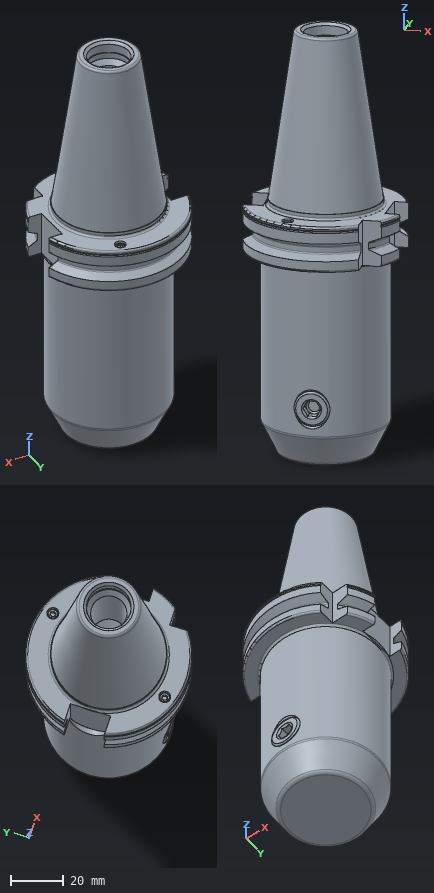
import cadquery as cq
import math

TAPER_LENGTH = 68.4
PROJECTION = 100.0
GAUGE_RADIUS = 44.45 / 2
TAPER_SLOPE = 7 / 48
TAPER_TOP_FILLET = 1.0
COLLAR_HEIGHT = 1.3

FLANGE_RADIUS = 63.55 / 2
FLANGE_TOP = -1.0
FLANGE_BOTTOM = -19.1
FLANGE_EDGE_FILLET = 0.8
FLANGE_ROOT_FILLET = 0.9
GROOVE_CENTRE = -11.15
GROOVE_WIDTH = 7.0
GROOVE_FLOOR_RADIUS = 27.9
GROOVE_WALL_ANGLE = 28.0
GROOVE_FLOOR_FILLET = 0.6
RIM_LINE_HEIGHT = -2.9
RIM_LINE_WIDTH = 1.0
RIM_LINE_DEPTH = 0.2

BODY_RADIUS = 25.0
NOSE_HEIGHT = 13.0
NOSE_RADIUS = 18.5
NOSE_FILLET = 2.0

SLOT_WIDTH = 16.1
LEFT_SLOT_FLOOR = 22.8
LEFT_SLOT_BOTTOM = -27.9
RIGHT_SLOT_FLOOR = 25.0
NOTCH_OFFSET = 18.5

COOLANT_CIRCLE_RADIUS = 27.0
COOLANT_ANGLES = (70.0, 250.0)
COOLANT_MOUTH_RADIUS = 2.25
COOLANT_HOLE_RADIUS = 1.8
COOLANT_SCREW_RECESS = 1.0
COOLANT_SOCKET_WIDTH = 2.0
COOLANT_SOCKET_DEPTH = 2.0

STUD_CHAMFER_RADIUS = 9.6
STUD_PILOT_RADIUS = 8.5
STUD_PILOT_DEPTH = 5.0
STUD_RELIEF_RADIUS = 8.9
STUD_RELIEF_DEPTH = 7.8
STUD_DRILL_RADIUS = 6.9
STUD_DRILL_DEPTH = 43.0
DRILL_HALF_ANGLE = 59.0

SCREW_HEIGHT = 24.2
SCREW_RADIUS = 7.0
SCREW_RIM_CHAMFER = 0.8
SCREW_FACE_DEPTH = 0.1
COUNTERSINK_RADIUS = 7.75
COUNTERSINK_DEPTH = 1.4
SOCKET_WIDTH = 6.0
SOCKET_DEPTH = 4.0
SOCKET_MOUTH_RADIUS = 3.9
SOCKET_FLOOR_RADIUS = 2.3


def revolve_profile(points):
    """Revolve (radius, height) points around the Z axis."""
    return cq.Workplane("XZ").polyline(points).close().revolve(360, (0, 0), (0, 1))


def fillet_rings(body, rings, radius):
    """Round the circular edges lying at the given (radius, height) pairs."""
    tolerance = 0.01
    for ring_radius, height in rings:
        corner = ring_radius + tolerance
        ring = cq.selectors.BoxSelector(
            (-corner, -corner, height - tolerance),
            (corner, corner, height + tolerance),
            boundingbox=True,
        )
        edges = [e for e in body.edges(ring).vals() if abs(e.radius() - ring_radius) < tolerance]
        body = body.newObject(edges).fillet(radius)
    return body


def make_shank():
    top_radius = GAUGE_RADIUS - TAPER_SLOPE * TAPER_LENGTH
    collar_taper_radius = GAUGE_RADIUS - TAPER_SLOPE * COLLAR_HEIGHT
    groove_depth = FLANGE_RADIUS - GROOVE_FLOOR_RADIUS
    wall_drop = groove_depth * math.tan(math.radians(GROOVE_WALL_ANGLE))
    groove_top = GROOVE_CENTRE + GROOVE_WIDTH / 2
    groove_bottom = GROOVE_CENTRE - GROOVE_WIDTH / 2
    floor_top = groove_top - wall_drop
    floor_bottom = groove_bottom + wall_drop
    shoulder = NOSE_HEIGHT - PROJECTION

    shank = revolve_profile([
        (0, TAPER_LENGTH),
        (top_radius, TAPER_LENGTH),
        (collar_taper_radius, COLLAR_HEIGHT),
        (GAUGE_RADIUS, COLLAR_HEIGHT),
        (GAUGE_RADIUS, FLANGE_TOP),
        (FLANGE_RADIUS, FLANGE_TOP),
        (FLANGE_RADIUS, RIM_LINE_HEIGHT + RIM_LINE_WIDTH / 2),
        (FLANGE_RADIUS - RIM_LINE_DEPTH, RIM_LINE_HEIGHT),
        (FLANGE_RADIUS, RIM_LINE_HEIGHT - RIM_LINE_WIDTH / 2),
        (FLANGE_RADIUS, groove_top),
        (GROOVE_FLOOR_RADIUS, floor_top),
        (GROOVE_FLOOR_RADIUS, floor_bottom),
        (FLANGE_RADIUS, groove_bottom),
        (FLANGE_RADIUS, FLANGE_BOTTOM),
        (BODY_RADIUS, FLANGE_BOTTOM),
        (BODY_RADIUS, shoulder),
        (NOSE_RADIUS, -PROJECTION),
        (0, -PROJECTION),
    ])
    flange_edges = [(FLANGE_RADIUS, FLANGE_TOP), (FLANGE_RADIUS, FLANGE_BOTTOM)]
    flange_roots = [(GAUGE_RADIUS, FLANGE_TOP), (BODY_RADIUS, FLANGE_BOTTOM)]
    groove_corners = [(GROOVE_FLOOR_RADIUS, floor_top), (GROOVE_FLOOR_RADIUS, floor_bottom)]
    nose_edges = [(BODY_RADIUS, shoulder), (NOSE_RADIUS, -PROJECTION)]
    shank = fillet_rings(shank, [(top_radius, TAPER_LENGTH)], TAPER_TOP_FILLET)
    shank = fillet_rings(shank, flange_edges, FLANGE_EDGE_FILLET)
    shank = fillet_rings(shank, flange_roots, FLANGE_ROOT_FILLET)
    shank = fillet_rings(shank, groove_corners, GROOVE_FLOOR_FILLET)
    return fillet_rings(shank, nose_edges, NOSE_FILLET)


def flange_cutter(x_min, x_max, y_min, y_max, bottom):
    """Block reaching from the flange top down to the given height."""
    return cq.Workplane("XY").box(
        x_max - x_min, y_max - y_min, FLANGE_TOP - bottom, centered=False
    ).translate((x_min, y_min, bottom))


def make_left_slot():
    """Round-ended drive slot on the -X side, running on into the body."""
    half_width = SLOT_WIDTH / 2
    arc_centre = LEFT_SLOT_BOTTOM + half_width
    slot_depth = FLANGE_RADIUS - LEFT_SLOT_FLOOR
    return (
        cq.Workplane("YZ", origin=(-FLANGE_RADIUS, 0, 0))
        .moveTo(-half_width, FLANGE_TOP)
        .lineTo(-half_width, arc_centre)
        .threePointArc((0, LEFT_SLOT_BOTTOM), (half_width, arc_centre))
        .lineTo(half_width, FLANGE_TOP)
        .close()
        .extrude(slot_depth)
    )


def make_right_slot():
    """Open drive slot on the +X side, through the flange height."""
    half_width = SLOT_WIDTH / 2
    return flange_cutter(RIGHT_SLOT_FLOOR, FLANGE_RADIUS, -half_width, half_width, FLANGE_BOTTOM)


def make_notch():
    """Square orientation notch in the +X, -Y corner of the flange."""
    return flange_cutter(NOTCH_OFFSET, FLANGE_RADIUS, -FLANGE_RADIUS, -NOTCH_OFFSET, FLANGE_BOTTOM)


def hexagon_socket(plane, width, depth):
    """Hexagon prism sunk into the given plane, sized across flats."""
    return plane.polygon(6, width / math.cos(math.radians(30))).extrude(-depth)


def make_coolant_hole(angle):
    """Countersunk recess down to the set screw, with the screw's hexagon socket."""
    x = COOLANT_CIRCLE_RADIUS * math.cos(math.radians(angle))
    y = COOLANT_CIRCLE_RADIUS * math.sin(math.radians(angle))
    surface = cq.Workplane("XY", origin=(x, y, FLANGE_TOP))
    screw_face = cq.Workplane("XY", origin=(x, y, FLANGE_TOP - COOLANT_SCREW_RECESS))
    mouth_depth = COOLANT_MOUTH_RADIUS - COOLANT_HOLE_RADIUS
    hole = surface.circle(COOLANT_HOLE_RADIUS).extrude(-COOLANT_SCREW_RECESS)
    mouth = surface.circle(COOLANT_MOUTH_RADIUS).extrude(-mouth_depth, taper=45)
    socket = hexagon_socket(screw_face, COOLANT_SOCKET_WIDTH, COOLANT_SOCKET_DEPTH)
    return hole.union(mouth).union(socket)


def make_stud_bore():
    chamfer = STUD_CHAMFER_RADIUS - STUD_PILOT_RADIUS
    shoulder = STUD_RELIEF_RADIUS - STUD_DRILL_RADIUS
    pilot_bottom = TAPER_LENGTH - STUD_PILOT_DEPTH
    relief_bottom = TAPER_LENGTH - STUD_RELIEF_DEPTH
    drill_bottom = TAPER_LENGTH - STUD_DRILL_DEPTH
    point_length = STUD_DRILL_RADIUS / math.tan(math.radians(DRILL_HALF_ANGLE))
    return revolve_profile([
        (0, TAPER_LENGTH),
        (STUD_CHAMFER_RADIUS, TAPER_LENGTH),
        (STUD_PILOT_RADIUS, TAPER_LENGTH - chamfer),
        (STUD_PILOT_RADIUS, pilot_bottom),
        (STUD_RELIEF_RADIUS, pilot_bottom),
        (STUD_RELIEF_RADIUS, relief_bottom),
        (STUD_DRILL_RADIUS, relief_bottom - shoulder),
        (STUD_DRILL_RADIUS, drill_bottom),
        (0, drill_bottom - point_length),
    ])


def screw_plane(depth):
    """Plane square to the screw axis, a given depth inside the body surface."""
    return cq.Workplane("XZ", origin=(0, depth - BODY_RADIUS, SCREW_HEIGHT - PROJECTION))


def make_screw_recess():
    """Countersunk hole in the body that takes the clamping screw."""
    countersink = screw_plane(0).circle(COUNTERSINK_RADIUS)
    hole = screw_plane(0).circle(SCREW_RADIUS).extrude(-COUNTERSINK_DEPTH)
    sink_depth = COUNTERSINK_RADIUS - SCREW_RADIUS
    return hole.union(countersink.extrude(-sink_depth, taper=45))


def make_screw():
    """Outer end of the clamping screw, with a chamfered rim."""
    end = (
        screw_plane(SCREW_FACE_DEPTH)
        .circle(SCREW_RADIUS)
        .extrude(SCREW_FACE_DEPTH - COUNTERSINK_DEPTH)
    )
    return end.faces("<Y").edges().chamfer(SCREW_RIM_CHAMFER)


def make_clamping_socket():
    """Hexagon socket of the clamping screw, with a countersunk mouth and a conical end."""
    mouth_plane = screw_plane(SCREW_FACE_DEPTH)
    end_plane = screw_plane(SCREW_FACE_DEPTH + SOCKET_DEPTH)
    mouth_depth = SOCKET_MOUTH_RADIUS - SOCKET_WIDTH / 2
    end_depth = SOCKET_WIDTH / 2 - SOCKET_FLOOR_RADIUS
    hexagon = hexagon_socket(mouth_plane, SOCKET_WIDTH, SOCKET_DEPTH)
    mouth = mouth_plane.circle(SOCKET_MOUTH_RADIUS).extrude(-mouth_depth, taper=45)
    end = end_plane.circle(SOCKET_WIDTH / 2).extrude(-end_depth, taper=45)
    return hexagon.union(mouth).union(end)


result = make_shank()
result = result.cut(make_left_slot())
result = result.cut(make_right_slot())
result = result.cut(make_notch())
for hole_angle in COOLANT_ANGLES:
    result = result.cut(make_coolant_hole(hole_angle))
result = result.cut(make_stud_bore())
result = result.cut(make_screw_recess())
result = result.union(make_screw())
result = result.cut(make_clamping_socket())